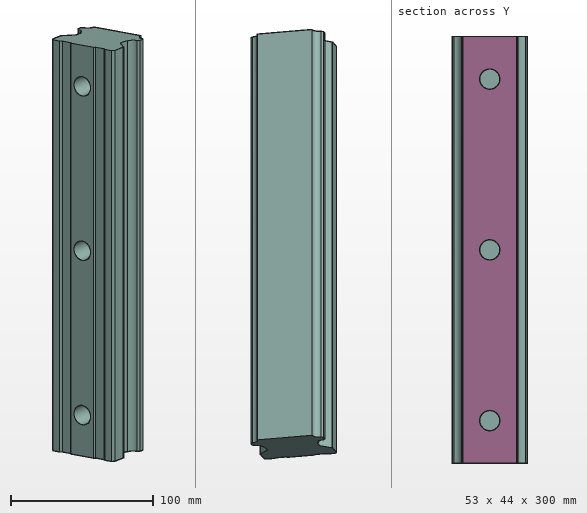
import cadquery as cq
import math

WIDTH = 53.0
HEIGHT = 44.0
LENGTH = 300.0
HALF_WIDTH = WIDTH / 2

BASE_CHAMFER = 1.7
CHANNEL_INNER_X = 9.7
CHANNEL_OUTER_X = 19.4
CHANNEL_DEPTH = 1.0
CHANNEL_INNER_RUN = 0.9
CHANNEL_OUTER_RUN = 1.8

LIP_BOTTOM_Y = 33.4
LIP_TOP_Y = 37.0
LIP_CHAMFER = 1.5

RACEWAY_RADIUS = 5.0
RACEWAY_X = HALF_WIDTH - LIP_CHAMFER
UPPER_RACEWAY_Y = LIP_TOP_Y + LIP_CHAMFER + RACEWAY_RADIUS
LOWER_RACEWAY_Y = LIP_BOTTOM_Y - LIP_CHAMFER - RACEWAY_RADIUS
HEAD_X = RACEWAY_X - RACEWAY_RADIUS

WAIST_FILLET = 1.0
WAIST_X = HEAD_X - WAIST_FILLET
LEDGE_Y = 12.9
LEDGE_WIDTH = 0.5

HOLE_DIAMETER = 14.0
HOLE_DEPTH = 24.0
HOLE_PITCH = 120.0
HOLE_COUNT = 3
HOLE_END_MARGIN = (LENGTH - (HOLE_COUNT - 1) * HOLE_PITCH) / 2


def half_profile():
    """Right half (X >= 0) of the rail cross-section."""
    fillet_leg = WAIST_FILLET * math.tan(math.pi / 8)
    fillet_run = fillet_leg * math.sqrt(0.5)
    slope_run = HALF_WIDTH - LEDGE_WIDTH - WAIST_X
    return (
        cq.Workplane("XY")
        .lineTo(CHANNEL_INNER_X, 0)
        .lineTo(CHANNEL_INNER_X + CHANNEL_INNER_RUN, CHANNEL_DEPTH)
        .lineTo(CHANNEL_OUTER_X - CHANNEL_OUTER_RUN, CHANNEL_DEPTH)
        .lineTo(CHANNEL_OUTER_X, 0)
        .lineTo(HALF_WIDTH - BASE_CHAMFER, 0)
        .lineTo(HALF_WIDTH, BASE_CHAMFER)
        .lineTo(HALF_WIDTH, LEDGE_Y)
        .lineTo(HALF_WIDTH - LEDGE_WIDTH, LEDGE_Y)
        .lineTo(WAIST_X + fillet_run, LEDGE_Y + slope_run - fillet_run)
        .radiusArc((WAIST_X, LEDGE_Y + slope_run + fillet_leg), WAIST_FILLET)
        .lineTo(WAIST_X, LOWER_RACEWAY_Y - WAIST_FILLET)
        .radiusArc((HEAD_X, LOWER_RACEWAY_Y), WAIST_FILLET)
        .radiusArc((RACEWAY_X, LIP_BOTTOM_Y - LIP_CHAMFER), RACEWAY_RADIUS)
        .lineTo(HALF_WIDTH, LIP_BOTTOM_Y)
        .lineTo(HALF_WIDTH, LIP_TOP_Y)
        .lineTo(RACEWAY_X, LIP_TOP_Y + LIP_CHAMFER)
        .radiusArc((HEAD_X, UPPER_RACEWAY_Y), RACEWAY_RADIUS)
        .lineTo(HEAD_X, HEIGHT)
        .lineTo(0, HEIGHT)
        .close()
    )


def rail_body():
    """Full rail, mirrored about the YZ plane."""
    half = half_profile().extrude(LENGTH)
    return half.union(half.mirror("YZ")).clean()


def hole_cutter(z):
    """Flat-bottomed hole rising from the mounting face at height z."""
    return cq.Workplane("XZ").center(0, z).circle(HOLE_DIAMETER / 2).extrude(-HOLE_DEPTH)


result = rail_body()
for index in range(HOLE_COUNT):
    result = result.cut(hole_cutter(HOLE_END_MARGIN + index * HOLE_PITCH))